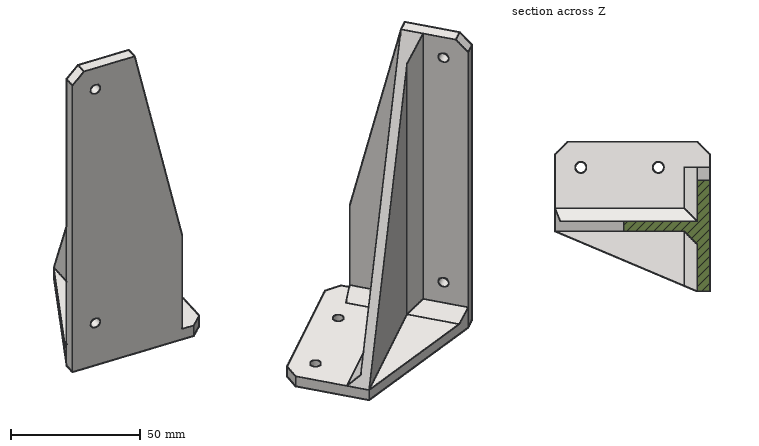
import cadquery as cq

LENGTH = 60.0
DEPTH = 58.0
HEIGHT = 140.0

PLATE = 5.0
GUSSET_FRONT = 23.25
GUSSET_THICKNESS = 4.0
GUSSET_BACK = GUSSET_FRONT + GUSSET_THICKNESS
WALL_WIDTH = 48.0
WALL_STRAIGHT_HEIGHT = 49.0
CORNER_CUT = 5.0
FILLER = 5.0
WALL_FACE = LENGTH - PLATE

HOLE_DIAMETER = 4.2
HOLE_EDGE_DISTANCE = 10.0
FLOOR_HOLES_X = (10.0, 40.0)
WALL_HOLES_Z = (20.0, HEIGHT - HOLE_EDGE_DISTANCE)


def prism_along_x(points_yz, x_start, x_end):
    return cq.Workplane("YZ", origin=(x_start, 0, 0)).polyline(points_yz).close().extrude(x_end - x_start)


def prism_along_y(points_xz, y_start, y_end):
    return cq.Workplane("XZ", origin=(0, y_end, 0)).polyline(points_xz).close().extrude(y_end - y_start)


def prism_along_z(points_xy, z_start, z_end):
    return cq.Workplane("XY", origin=(0, 0, z_start)).polyline(points_xy).close().extrude(z_end - z_start)


FLOOR_OUTLINE = [
    (0, GUSSET_FRONT),
    (WALL_FACE, 0),
    (LENGTH, 0),
    (LENGTH, DEPTH - CORNER_CUT),
    (LENGTH - CORNER_CUT, DEPTH),
    (CORNER_CUT, DEPTH),
    (0, DEPTH - CORNER_CUT),
]

WALL_OUTLINE = [
    (0, 0),
    (WALL_WIDTH, 0),
    (WALL_WIDTH, WALL_STRAIGHT_HEIGHT),
    (GUSSET_BACK, HEIGHT),
    (CORNER_CUT, HEIGHT),
    (0, HEIGHT - CORNER_CUT),
]

GUSSET_OUTLINE = [
    (0, 0),
    (LENGTH, 0),
    (LENGTH, HEIGHT),
    (WALL_FACE, HEIGHT),
    (0, PLATE),
]


def make_plates():
    floor = prism_along_z(FLOOR_OUTLINE, 0, PLATE)
    wall = prism_along_x(WALL_OUTLINE, WALL_FACE, LENGTH)
    gusset = prism_along_y(GUSSET_OUTLINE, GUSSET_FRONT, GUSSET_BACK)
    return floor.union(wall).union(gusset)


def below_gusset_slope():
    """Full-depth block with the gusset profile, used to trim fillers to the slope."""
    return prism_along_y(GUSSET_OUTLINE, 0, DEPTH)


def make_wall_floor_filler():
    """Triangular bar between wall and floor, trimmed by the slanted front edge of the floor."""
    triangle = [
        (WALL_FACE, PLATE),
        (WALL_FACE - FILLER, PLATE),
        (WALL_FACE, PLATE + FILLER),
    ]
    floor_column = prism_along_z(FLOOR_OUTLINE, 0, HEIGHT)
    return prism_along_y(triangle, 0, WALL_WIDTH).intersect(floor_column)


def make_gusset_floor_filler():
    """Triangular bar between the back of the gusset and the floor, trimmed by the gusset slope."""
    triangle = [
        (GUSSET_BACK, PLATE),
        (GUSSET_BACK + FILLER, PLATE),
        (GUSSET_BACK, PLATE + FILLER),
    ]
    return prism_along_x(triangle, 0, WALL_FACE).intersect(below_gusset_slope())


def make_gusset_wall_filler():
    """Triangular post between the front of the gusset and the wall, trimmed by the gusset slope."""
    triangle = [
        (WALL_FACE, GUSSET_FRONT),
        (WALL_FACE - FILLER, GUSSET_FRONT),
        (WALL_FACE, GUSSET_FRONT - FILLER),
    ]
    return prism_along_z(triangle, PLATE, HEIGHT).intersect(below_gusset_slope())


def make_holes():
    floor_points = [(x, DEPTH - HOLE_EDGE_DISTANCE) for x in FLOOR_HOLES_X]
    wall_points = [(HOLE_EDGE_DISTANCE, z) for z in WALL_HOLES_Z]
    floor_holes = cq.Workplane("XY").pushPoints(floor_points).circle(HOLE_DIAMETER / 2).extrude(PLATE)
    wall_plane = cq.Workplane("YZ", origin=(WALL_FACE, 0, 0))
    wall_holes = wall_plane.pushPoints(wall_points).circle(HOLE_DIAMETER / 2).extrude(PLATE)
    return floor_holes.union(wall_holes)


bracket = make_plates()
bracket = bracket.union(make_wall_floor_filler())
bracket = bracket.union(make_gusset_floor_filler())
bracket = bracket.union(make_gusset_wall_filler())
result = bracket.cut(make_holes())